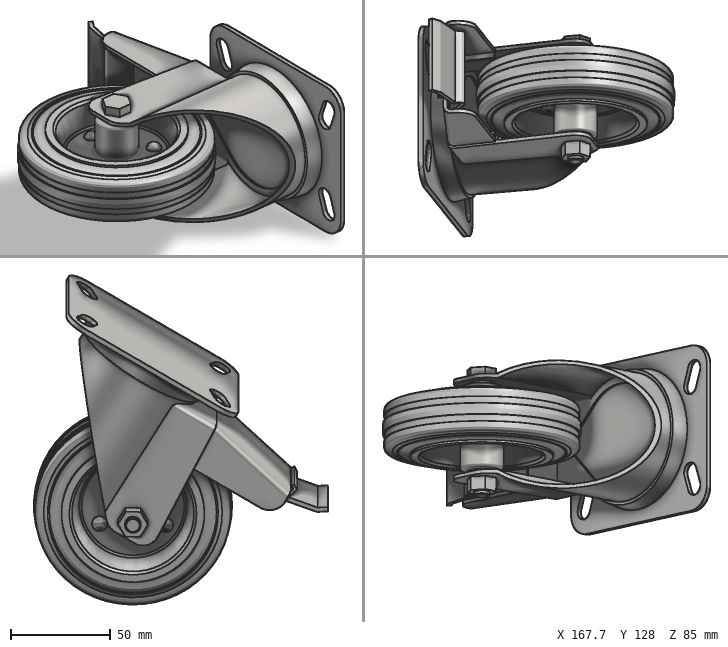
import cadquery as cq
import math


SHEET = 2.0

WHEEL_RADIUS = 50.0
TREAD_CROWN = 0.2
HUB_RADIUS = 22.0 / 2
HUB_HALF_LENGTH = 21.8
HUB_EDGE_RADIUS = 1.8
HUB_FLARE = 2.7
SPACER_RADIUS = 12.0 / 2
RIM_DISC_HALF = 1.0
RIM_HALF_WIDTH = 14.5
RIM_FLOOR_RADIUS = 25.8
RIM_WALL_RADIUS = 27.0
RIM_FLOOR_BEVEL = 0.8
RIM_LIP_BEVEL = 1.3
RIM_MOUTH_RADIUS = 30.7
RIM_LIP_RADIUS = 32.0
RIM_FLANGE_RADIUS = 72.0 / 2
RIVET_COUNT = 3
RIVET_CIRCLE_RADIUS = 19.1
RIVET_START_ANGLE = 60
RIVET_RADIUS = 8.0 / 2

PLATE_LENGTH = 100.0
PLATE_WIDTH = 85.0
PLATE_THICKNESS = 2.5
PLATE_CORNER_RADIUS = 11.4
PLATE_TOP = 78.0
PLATE_BOTTOM = PLATE_TOP - PLATE_THICKNESS
SLOT_WIDTH = 9.0
SLOT_OUTER_END = (40.6, 30.2)
SLOT_INNER_END = (37.8, 22.1)

SWIVEL_X = 35.0
SWIVEL_GAP = 0.3
DISH_TOP_RADIUS = 72.0 / 2
DISH_BOTTOM_RADIUS = 34.5
DISH_BOTTOM = 66.6
DRUM_RADIUS = 66.0 / 2
DRUM_INNER_RADIUS = DRUM_RADIUS - SHEET
ROOF_RECESS_RADIUS = 54.0 / 2
ROOF_RECESS_DEPTH = 1.0

FORK_HALF_WIDTH = 25.7
FORK_INNER_HALF = FORK_HALF_WIDTH - SHEET
FORK_TOP = 64.1
FORK_BEND_RADIUS = 3.4
FORK_FRONT_TOP_X = -10.4
FORK_FRONT_LOW_X = -15.3
FORK_BOTTOM = -9.9
FORK_CORNER_RADIUS = 8.4
SHROUD_LOW = (14.0, -4.0)
SHROUD_HIGH = (SWIVEL_X + DRUM_RADIUS, 60.0)

BOLT_RADIUS = 8.0 / 2
HEX_ACROSS_FLATS = 13.1
HEAD_HEIGHT = 4.9
NUT_HEIGHT = 6.9
BOLT_TIP_LENGTH = 2.0
BOLT_TIP_CHAMFER = 0.7

HOUSING_HALF_WIDTH = 24.5
HOUSING_BEND_RADIUS = 4.0
HOUSING_FRONT_X = -60.7
HOUSING_FRONT_TOP = 53.0
HOUSING_BOTTOM = 38.6
HOUSING_CORNER_RADIUS = 9.2
HOUSING_LIP_HALF = 19.6

PEDAL_HALF_WIDTH = 19.0
PEDAL_THICKNESS = 2.3
LEAF_HALF_WIDTH = 16.0
LEAF_THICKNESS = 1.5
PEDAL_PATH = [(-82.0, 54.2), (-77.7, 51.2), (-60.2, 47.8), (-58.0, 43.0), (-46.8, 52.4)]
PEDAL_CURL_RADIUS = 2.7
PEDAL_TIP_BEND_RADIUS = 3.5
LEAF_RANGE_X = (-47.5, -27.7)
HOOK_PATH = [(-60.9, 55.0), (-63.0, 53.9), (-61.5, 48.3)]


def slab(outline, half_width):
    """Prism of an XY outline, symmetric about Z = 0."""
    return outline.extrude(half_width, both=True)


def cylinder_y(radius, bottom, top):
    """Cylinder on the swivel axis from Y = bottom to Y = top."""
    disc = cq.Workplane("XZ", origin=(SWIVEL_X, bottom, 0)).circle(radius)
    return disc.extrude(bottom - top)


def box_between(x_range, y_range, half_width):
    """Box over the given X and Y ranges, symmetric about Z = 0."""
    corner_x, corner_y = x_range[0], y_range[0]
    size = (x_range[1] - corner_x, y_range[1] - corner_y, 2 * half_width)
    return cq.Workplane("XY").box(*size, centered=(False, False, True)).translate((corner_x, corner_y, 0))


def band(path, thickness, half_width):
    """Bent strip of constant thickness along an XY path, with mitred bends."""
    headings = [math.atan2(b[1] - a[1], b[0] - a[0]) for a, b in zip(path, path[1:])]
    upper, lower = [], []
    for i, (x, y) in enumerate(path):
        before = headings[max(i - 1, 0)]
        after = headings[min(i, len(headings) - 1)]
        normal = (before + after) / 2 + math.pi / 2
        reach = thickness / 2 / math.cos((after - before) / 2)
        dx = reach * math.cos(normal)
        dy = reach * math.sin(normal)
        upper.append((x + dx, y + dy))
        lower.append((x - dx, y - dy))
    return slab(cq.Workplane("XY").polyline(upper + lower[::-1]).close(), half_width)


def hexagon(bottom, height):
    """Hexagonal prism on the Z axis with two of its flats facing +X and -X."""
    corner_diameter = HEX_ACROSS_FLATS / math.cos(math.pi / 6)
    prism = cq.Workplane("XY").polygon(6, corner_diameter).extrude(height)
    return prism.rotate((0, 0, 0), (0, 0, 1), 30).translate((0, 0, bottom))


def fork_front_x(y):
    """X of the fork's slanted front edge at height y."""
    return FORK_FRONT_TOP_X + (FORK_FRONT_LOW_X - FORK_FRONT_TOP_X) * (FORK_TOP - y) / FORK_TOP


def make_plate():
    blank = cq.Workplane("XZ", origin=(SWIVEL_X, PLATE_TOP, 0)).rect(PLATE_LENGTH, PLATE_WIDTH)
    plate = blank.extrude(PLATE_THICKNESS).edges("|Y").fillet(PLATE_CORNER_RADIUS)
    run_x = SLOT_OUTER_END[0] - SLOT_INNER_END[0]
    run_z = SLOT_OUTER_END[1] - SLOT_INNER_END[1]
    middle_x = SLOT_INNER_END[0] + run_x / 2
    middle_z = SLOT_INNER_END[1] + run_z / 2
    tilt = math.degrees(math.atan2(run_z, run_x))
    length = math.hypot(run_x, run_z) + SLOT_WIDTH
    for side_x in (-1, 1):
        for side_z in (-1, 1):
            centre = (SWIVEL_X + side_x * middle_x, PLATE_TOP, side_z * middle_z)
            slot = cq.Workplane("XZ", origin=centre).slot2D(length, SLOT_WIDTH, side_x * side_z * tilt)
            plate = plate.cut(slot.extrude(PLATE_THICKNESS))
    return plate


def make_roof_recess(bottom):
    """Round recess whose front runs out along two 45 degree tangents to a point."""
    touch = ROOF_RECESS_RADIUS / math.sqrt(2)
    outline = cq.Workplane("XZ", origin=(SWIVEL_X, bottom, 0)).moveTo(-touch, touch)
    outline = outline.threePointArc((ROOF_RECESS_RADIUS, 0), (-touch, -touch)).lineTo(-2 * touch, 0).close()
    return outline.extrude(-ROOF_RECESS_DEPTH)


def make_fork():
    leg_x = (FORK_FRONT_LOW_X, SWIVEL_X)
    legs = box_between(leg_x, (FORK_BOTTOM, FORK_TOP), FORK_HALF_WIDTH)
    legs = legs.faces(">Y").edges("|X").fillet(FORK_BEND_RADIUS)
    shell = legs.union(cylinder_y(DRUM_RADIUS, FORK_BOTTOM, FORK_TOP))

    inner_top = FORK_TOP - SHEET
    gap = box_between(leg_x, (FORK_BOTTOM, inner_top), FORK_INNER_HALF)
    gap = gap.faces(">Y").edges("|X").fillet(FORK_BEND_RADIUS - SHEET)
    hollow = cylinder_y(DRUM_INNER_RADIUS, FORK_BOTTOM, inner_top)
    shell = shell.cut(gap).cut(hollow).cut(make_roof_recess(inner_top))

    slope = (SHROUD_HIGH[1] - SHROUD_LOW[1]) / (SHROUD_HIGH[0] - SHROUD_LOW[0])
    foot_x = SHROUD_LOW[0] - (SHROUD_LOW[1] - FORK_BOTTOM) / slope
    outline = [
        (fork_front_x(FORK_TOP), FORK_TOP),
        (FORK_FRONT_LOW_X, 0),
        (FORK_FRONT_LOW_X, FORK_BOTTOM),
        (foot_x, FORK_BOTTOM),
        SHROUD_HIGH,
        (SHROUD_HIGH[0], FORK_TOP),
    ]
    side = slab(cq.Workplane("XY").polyline(outline).close(), DRUM_RADIUS)
    side = side.edges("|Z and <Y").fillet(FORK_CORNER_RADIUS)
    shell = shell.intersect(side)

    dish_height = PLATE_BOTTOM - SWIVEL_GAP - DISH_BOTTOM
    dish_base = cq.Workplane("XZ", origin=(SWIVEL_X, DISH_BOTTOM, 0)).circle(DISH_BOTTOM_RADIUS)
    dish = dish_base.workplane(offset=-dish_height).circle(DISH_TOP_RADIUS).loft()
    neck = cylinder_y(DRUM_RADIUS, FORK_TOP, DISH_BOTTOM)
    bolt_hole = slab(cq.Workplane("XY").circle(BOLT_RADIUS), FORK_HALF_WIDTH)
    return shell.union(neck).union(dish).cut(bolt_hole)


def make_wheel():
    rim_profile = [
        (BOLT_RADIUS, 0),
        (BOLT_RADIUS, HUB_HALF_LENGTH),
        (HUB_RADIUS, HUB_HALF_LENGTH),
        (HUB_RADIUS, RIM_DISC_HALF),
        (RIM_FLOOR_RADIUS, RIM_DISC_HALF),
        (RIM_WALL_RADIUS, RIM_DISC_HALF + RIM_FLOOR_BEVEL),
        (RIM_MOUTH_RADIUS, RIM_HALF_WIDTH - RIM_LIP_BEVEL),
        (RIM_LIP_RADIUS, RIM_HALF_WIDTH),
        (RIM_FLANGE_RADIUS, RIM_HALF_WIDTH),
    ]
    side_wall = [
        (RIM_FLANGE_RADIUS, 13.3),
        (40.1, 13.0),
        (42.1, 12.2),
        (43.0, 12.2),
        (45.0, 11.5),
        (46.0, 11.5),
        (47.3, 11.4),
    ]
    shoulder_middle = (48.8, 10.5)
    tread = [
        (49.3, 9.4),
        (49.3, 6.4),
        (49.0, 6.4),
        (49.0, 2.9),
        (WHEEL_RADIUS - TREAD_CROWN, 2.9),
        (WHEEL_RADIUS, 0),
    ]
    section = cq.Workplane("XZ").polyline(rim_profile + side_wall)
    section = section.threePointArc(shoulder_middle, tread[0]).polyline(tread[1:], includeCurrent=True).close()
    half_wheel = section.revolve(360, (0, 0, 0), (0, 1, 0))
    wheel = half_wheel.union(half_wheel.mirror("XY"))

    hub_rims = cq.selectors.RadiusNthSelector(1)
    for end_face in (">Z", "<Z"):
        wheel = wheel.faces(end_face).edges(hub_rims).fillet(HUB_EDGE_RADIUS)
    disc_zone = cq.selectors.BoxSelector((-1.7, -1.7, -2 * RIM_DISC_HALF), (1.7, 1.7, 2 * RIM_DISC_HALF))
    hub_base = cq.selectors.RadiusNthSelector(0)
    wheel = wheel.edges("%CIRCLE").edges(disc_zone).edges(hub_base).fillet(HUB_FLARE)

    collar = cq.Workplane("XY").circle(SPACER_RADIUS).circle(BOLT_RADIUS)
    collar = collar.extrude(FORK_INNER_HALF - HUB_HALF_LENGTH).translate((0, 0, HUB_HALF_LENGTH))
    wheel = wheel.union(collar).union(collar.mirror("XY"))

    rivets = cq.Workplane("XY").polarArray(RIVET_CIRCLE_RADIUS, RIVET_START_ANGLE, 360, RIVET_COUNT)
    return wheel.union(rivets.sphere(RIVET_RADIUS, combine=False))


def make_axle():
    head_top = FORK_HALF_WIDTH + HEAD_HEIGHT
    nut_bottom = -FORK_HALF_WIDTH - NUT_HEIGHT
    tip = nut_bottom - BOLT_TIP_LENGTH
    shank = cq.Workplane("XY").workplane(offset=tip).circle(BOLT_RADIUS).extrude(head_top - tip)
    shank = shank.faces("<Z").chamfer(BOLT_TIP_CHAMFER)
    return shank.union(hexagon(FORK_HALF_WIDTH, HEAD_HEIGHT)).union(hexagon(nut_bottom, NUT_HEIGHT))


def housing_top(x):
    """Y of the housing's sloping top surface at x."""
    slope = (FORK_TOP - HOUSING_FRONT_TOP) / (FORK_FRONT_TOP_X - HOUSING_FRONT_X)
    return HOUSING_FRONT_TOP + slope * (x - HOUSING_FRONT_X)


def housing_outline(inset, setback=0):
    """Side outline with its top lowered by the inset and its rear edge moved forward by the setback."""
    points = [
        (HOUSING_FRONT_X, HOUSING_BOTTOM),
        (HOUSING_FRONT_X, HOUSING_FRONT_TOP - inset),
        (FORK_FRONT_TOP_X - setback, housing_top(FORK_FRONT_TOP_X - setback) - inset),
        (fork_front_x(HOUSING_BOTTOM) - setback, HOUSING_BOTTOM),
    ]
    return cq.Workplane("XY").polyline(points).close()


def make_housing():
    channel = slab(housing_outline(0), HOUSING_HALF_WIDTH)
    channel = channel.edges("|Z and <X and <Y").fillet(HOUSING_CORNER_RADIUS)
    slope_edges = cq.selectors.BoxSelector(
        (HOUSING_FRONT_X, HOUSING_FRONT_TOP, -PLATE_WIDTH), (FORK_FRONT_TOP_X, FORK_TOP, PLATE_WIDTH)
    )
    channel = channel.edges("not |Z").edges(slope_edges).fillet(HOUSING_BEND_RADIUS)
    inside = slab(housing_outline(SHEET, SHEET), HOUSING_HALF_WIDTH - SHEET)
    inside = inside.edges("not |Z").edges(slope_edges).fillet(HOUSING_BEND_RADIUS - SHEET)
    lip_opening = slab(housing_outline(SHEET), HOUSING_LIP_HALF)
    return channel.cut(inside).cut(lip_opening)


def make_pedal():
    pedal = band(PEDAL_PATH, PEDAL_THICKNESS, PEDAL_HALF_WIDTH)
    curl_x, curl_y = PEDAL_PATH[3]
    curl_edge = cq.selectors.NearestToPointSelector((curl_x, curl_y - PEDAL_THICKNESS, 0))
    pedal = pedal.edges("|Z").edges(curl_edge).fillet(PEDAL_CURL_RADIUS)
    bend_x, bend_y = PEDAL_PATH[1]
    bend_edge = cq.selectors.NearestToPointSelector((bend_x, bend_y - PEDAL_THICKNESS, 0))
    pedal = pedal.edges("|Z").edges(bend_edge).fillet(PEDAL_TIP_BEND_RADIUS)

    leaf_start, leaf_end = LEAF_RANGE_X
    top_slope = math.atan2(housing_top(leaf_end) - housing_top(leaf_start), leaf_end - leaf_start)
    leaf_drop = SHEET + LEAF_THICKNESS / 2 / math.cos(top_slope)
    leaf_path = [(x, housing_top(x) - leaf_drop) for x in LEAF_RANGE_X]
    leaf = band(leaf_path, LEAF_THICKNESS, LEAF_HALF_WIDTH)
    hook = band(HOOK_PATH, LEAF_THICKNESS, LEAF_HALF_WIDTH)
    return pedal.union(leaf).union(hook)


plate = make_plate()
fork = make_fork()
wheel = make_wheel()
axle = make_axle()
housing = make_housing()
pedal = make_pedal()

bodies = [plate, fork, wheel, axle, housing, pedal]
result = cq.Compound.makeCompound([body.val() for body in bodies])